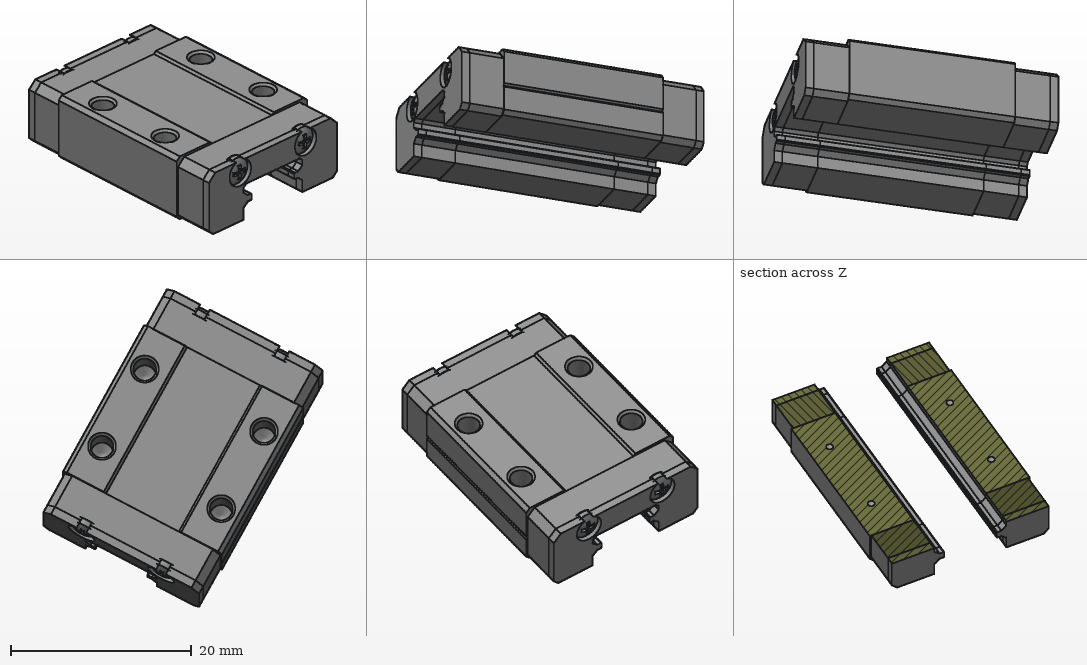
import cadquery as cq
import math


total_length = 28.9
block_length = 18.95
seal_thickness = 0.95
cap_length = (total_length - block_length) / 2 - seal_thickness

block_width = 20.0
block_height = 8.0
block_chamfer = 0.5
recess_depth = 0.3
recess_floor_width = 9.15
groove_height = 3.47
groove_depth = 0.23

hole_spacing_x = 10.0
hole_spacing_y = 15.0
hole_diameter = 2.5
hole_depth = 3.47
hole_tip_angle = 118.0
countersink_diameter = 3.1

cap_side_inset = 0.2
cap_width = block_width - 2 * cap_side_inset
cap_height = block_height - recess_depth
cap_top_chamfer = 0.95
cap_bottom_chamfer = 0.65

channel_width = 9.0
channel_height = 4.45
channel_chamfer = 0.38
ridge_center_height = 2.49
ridge_root_height = 1.95
ridge_neck_height = 0.85
ridge_neck_offset = 0.65
ridge_protrusion = 1.25
ridge_tip_chamfer = 0.12

screw_spacing = 10.0
screw_places_y = (-screw_spacing / 2, screw_spacing / 2)
screw_height = 6.18
head_diameter = 3.3
head_rim_length = 0.7
head_seat_depth = 0.35
dome_height = 0.6
cross_length = 1.73
cross_arm_width = 0.43
cross_depth = 0.45


def extrude_along_x(outline, x_start, length):
    """Extrude a closed outline of (y, z) points from x_start towards +X."""
    return cq.Workplane("YZ", origin=(x_start, 0, 0)).polyline(outline).close().extrude(length)


def mirrored(half_outline):
    """Complete the +Y half of an outline with its mirror image on the -Y side."""
    return half_outline + [(-y, z) for y, z in reversed(half_outline)]


def make_channel():
    """Solid that fills the rail channel over the full length."""
    wall = channel_width / 2
    neck = wall - ridge_neck_offset
    tip = wall - ridge_protrusion
    half_neck = ridge_neck_height / 2
    half_root = ridge_root_height / 2
    half_outline = [
        (wall, 0),
        (wall, ridge_center_height - half_root),
        (neck, ridge_center_height - half_neck),
        (tip + ridge_tip_chamfer, ridge_center_height - half_neck),
        (tip, ridge_center_height - half_neck + ridge_tip_chamfer),
        (tip, ridge_center_height + half_neck - ridge_tip_chamfer),
        (tip + ridge_tip_chamfer, ridge_center_height + half_neck),
        (neck, ridge_center_height + half_neck),
        (wall, ridge_center_height + half_root),
        (wall, channel_height - channel_chamfer),
        (wall - channel_chamfer, channel_height),
    ]
    return extrude_along_x(mirrored(half_outline), -total_length / 2, total_length)


def make_mounting_hole():
    """Blind drilled hole with a 45 degree countersink, opening at the origin towards +Z."""
    radius = hole_diameter / 2
    countersink_radius = countersink_diameter / 2
    countersink_depth = countersink_radius - radius
    tip_depth = radius / math.tan(math.radians(hole_tip_angle / 2))
    profile = [
        (0, 0),
        (countersink_radius, 0),
        (radius, -countersink_depth),
        (radius, -hole_depth),
        (0, -hole_depth - tip_depth),
    ]
    return cq.Workplane("XZ").polyline(profile).close().revolve(360, (0, 0, 0), (0, 1, 0))


def make_block(channel):
    side = block_width / 2
    recess_half = recess_floor_width / 2
    recess_floor = block_height - recess_depth
    half_outline = [
        (side - block_chamfer, 0),
        (side, block_chamfer),
        (side, block_height - block_chamfer),
        (side - block_chamfer, block_height),
        (recess_half + recess_depth, block_height),
        (recess_half, recess_floor),
    ]
    block = extrude_along_x(mirrored(half_outline), -block_length / 2, block_length).cut(channel)

    groove_outline = [
        (side, groove_height - groove_depth),
        (side, groove_height + groove_depth),
        (side - groove_depth, groove_height),
    ]
    block = block.cut(extrude_along_x(groove_outline, -block_length / 2, block_length))

    hole = make_mounting_hole()
    for x in (-hole_spacing_x / 2, hole_spacing_x / 2):
        for y in (-hole_spacing_y / 2, hole_spacing_y / 2):
            block = block.cut(hole.translate((x, y, block_height)))
    return block


def make_end_plate(x_start, length, channel, screw_seats):
    """Plate with the chamfered end outline, shared by the end caps and the end seals."""
    side = cap_width / 2
    half_outline = [
        (side - cap_bottom_chamfer, 0),
        (side, cap_bottom_chamfer),
        (side, cap_height - cap_top_chamfer),
        (side - cap_top_chamfer, cap_height),
    ]
    plate = extrude_along_x(mirrored(half_outline), x_start, length).cut(channel)
    for seat in screw_seats:
        plate = plate.cut(seat)
    return plate


def make_screw_seats():
    """Cylinders that clear the screw heads, through the -X seal and into the -X cap."""
    depth = seal_thickness + head_seat_depth
    return [
        cq.Workplane("YZ", origin=(-total_length / 2, y, screw_height)).circle(head_diameter / 2).extrude(depth)
        for y in screw_places_y
    ]


def make_screw(y):
    """Domed screw head with a cross recess, facing -X and seated in the -X cap."""
    radius = head_diameter / 2
    seat_x = -total_length / 2 + seal_thickness + head_seat_depth
    rim_x = seat_x - head_rim_length
    apex_x = rim_x - dome_height
    dome_radius = (radius**2 + dome_height**2) / (2 * dome_height)
    dome_half_angle = math.asin(radius / dome_radius) / 2
    dome_middle = (
        apex_x + dome_radius * (1 - math.cos(dome_half_angle)),
        dome_radius * math.sin(dome_half_angle),
    )
    head = (
        cq.Workplane("XY")
        .moveTo(seat_x, 0)
        .lineTo(seat_x, radius)
        .lineTo(rim_x, radius)
        .threePointArc(dome_middle, (apex_x, 0))
        .close()
        .revolve(360, (0, 0, 0), (1, 0, 0))
    )
    recess_plane = cq.Workplane("YZ", origin=(apex_x, 0, 0))
    head = head.cut(recess_plane.rect(cross_length, cross_arm_width).extrude(cross_depth))
    head = head.cut(recess_plane.rect(cross_arm_width, cross_length).extrude(cross_depth))
    return head.translate((0, y, screw_height))


channel = make_channel()
screw_seats = make_screw_seats()

block = make_block(channel)

seal = make_end_plate(-total_length / 2, seal_thickness, channel, screw_seats)
cap = make_end_plate(-total_length / 2 + seal_thickness, cap_length, channel, screw_seats)
screws = [make_screw(y) for y in screw_places_y]

bodies = [block.val()]
for end_part in [cap, seal, *screws]:
    bodies.append(end_part.val())
    bodies.append(end_part.mirror("YZ").val())

result = cq.Compound.makeCompound(bodies)